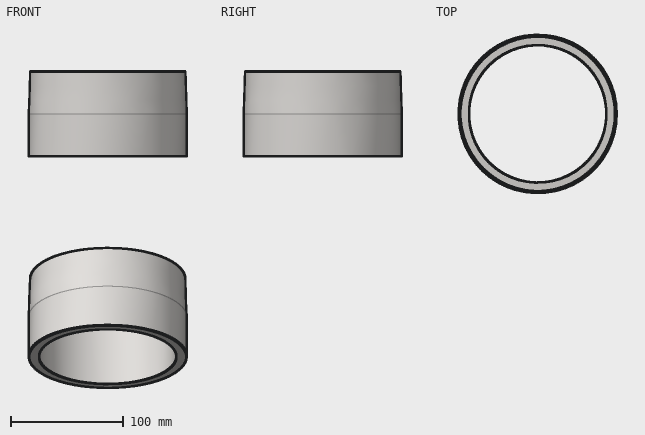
import cadquery as cq

outer_diameter = 141.2
top_diameter = 138.8
bore_diameter = 122.0
height = 76.3
taper_start = height / 2
edge_chamfer = 0.7
bore_chamfer = 0.4

outer_radius = outer_diameter / 2
top_radius = top_diameter / 2
bore_radius = bore_diameter / 2
taper_end = height - edge_chamfer

section = (
    cq.Workplane("XZ")
    .moveTo(bore_radius + bore_chamfer, 0)
    .lineTo(outer_radius - edge_chamfer, 0)
    .lineTo(outer_radius, edge_chamfer)
    .lineTo(outer_radius, taper_start)
    .lineTo(top_radius, taper_end)
    .lineTo(top_radius - edge_chamfer, height)
    .lineTo(bore_radius + bore_chamfer, height)
    .lineTo(bore_radius, height - bore_chamfer)
    .lineTo(bore_radius, bore_chamfer)
    .close()
)

result = section.revolve(360, (0, 0, 0), (0, 1, 0))